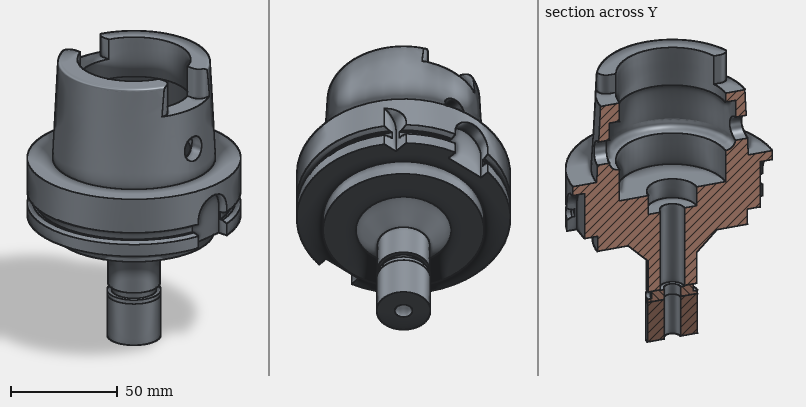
import cadquery as cq
import math


top_z = 50.0
collar_bottom_z = -37.0
stem_top_z = -47.0
stem_bottom_z = -63.5
ring_top_z = -67.0
ring_bottom_z = -69.0
base_z = -90.0

shank_base_radius = 38.1
shank_taper = 0.05
shank_top_radius = shank_base_radius - shank_taper * top_z
rim_fillet = 1.75

flange_radius = 50.0
flange_bottom_z = -29.0
groove_floor_radius = 46.2
groove_ledge_radius = 47.5
groove_center_z = -20.0
groove_floor_width = 3.8
groove_side_height = 1.1
collar_radius = 37.6

stem_radius = 12.25
cone_top_radius = stem_radius + (collar_bottom_z - stem_top_z)
neck_radius = 10.5
sleeve_radius = 12.6

mouth_radius = 26.5
chamber_radius = 31.5
chamber_top_z = 30.0
chamber_cove_top_z = 9.5
well_floor_z = -12.0
socket_radius = 12.0
socket_depth = 10.0
holder_bore_radius = 6.0
through_bore_radius = 4.1

slot_half_width = 10.0
slot_corner_radius = 4.5
slot_wall_x = 32.25
left_slot_depth = 10.0
right_slot_depth = 15.0

cross_hole_radius = 6.0
cross_hole_z = 15.0

notch_half_width = 10.0
notch_top_z = -5.0
key_notch_floor_x = 44.0
corner_notch_floor_x = 31.5
corner_notch_side_y = 31.6


def cylinder(radius, bottom_z, top):
    return cq.Workplane("XY").workplane(offset=bottom_z).circle(radius).extrude(top - bottom_z)


def revolved_body():
    """Outside of the holder: shank, grooved flange, collar, cone and stem."""
    groove_top_z = groove_center_z + groove_floor_width / 2
    groove_bottom_z = groove_center_z - groove_floor_width / 2
    outline = [
        (0, top_z),
        (shank_top_radius, top_z),
        (shank_base_radius, 0),
        (flange_radius, 0),
        (flange_radius, groove_top_z + groove_side_height),
        (groove_ledge_radius, groove_top_z),
        (groove_floor_radius, groove_top_z),
        (groove_floor_radius, groove_bottom_z),
        (groove_ledge_radius, groove_bottom_z),
        (flange_radius, groove_bottom_z - groove_side_height),
        (flange_radius, flange_bottom_z),
        (collar_radius, flange_bottom_z),
        (collar_radius, collar_bottom_z),
        (cone_top_radius, collar_bottom_z),
        (stem_radius, stem_top_z),
        (stem_radius, stem_bottom_z),
        (0, stem_bottom_z),
    ]
    body = cq.Workplane("XZ").polyline(outline).close().revolve(360, (0, 0, 0), (0, 1, 0))
    return body.faces(">Z").edges().fillet(rim_fillet)


def holder_cavity():
    """Mouth, wider chamber coved back in to the well, socket and stem bore, from the top down."""
    cove_radius = chamber_radius - mouth_radius
    cove_bottom_z = chamber_cove_top_z - cove_radius
    arc_offset = cove_radius * math.sqrt(0.5)
    socket_floor_z = well_floor_z - socket_depth
    return (
        cq.Workplane("XZ")
        .moveTo(0, top_z)
        .lineTo(mouth_radius, top_z)
        .lineTo(mouth_radius, chamber_top_z)
        .lineTo(chamber_radius, chamber_top_z)
        .lineTo(chamber_radius, chamber_cove_top_z)
        .threePointArc(
            (mouth_radius + arc_offset, chamber_cove_top_z - arc_offset),
            (mouth_radius, cove_bottom_z),
        )
        .lineTo(mouth_radius, well_floor_z)
        .lineTo(socket_radius, well_floor_z)
        .lineTo(socket_radius, socket_floor_z)
        .lineTo(holder_bore_radius, socket_floor_z)
        .lineTo(holder_bore_radius, stem_bottom_z)
        .lineTo(0, stem_bottom_z)
        .close()
        .revolve(360, (0, 0, 0), (0, 1, 0))
    )


def drive_slot(side, depth):
    """Slot through one side of the mouth; it flares outward round the lug corners."""
    flare_half_width = slot_half_width + slot_corner_radius
    flare_start_x = slot_wall_x - slot_corner_radius
    arc_offset = slot_corner_radius * math.sqrt(0.5)
    floor_z = top_z - depth
    return (
        cq.Workplane("XY", origin=(0, 0, floor_z))
        .moveTo(0, -slot_half_width)
        .lineTo(side * flare_start_x, -slot_half_width)
        .threePointArc(
            (side * (flare_start_x + arc_offset), -flare_half_width + arc_offset),
            (side * slot_wall_x, -flare_half_width),
        )
        .lineTo(side * slot_wall_x, -flange_radius)
        .lineTo(side * flange_radius, -flange_radius)
        .lineTo(side * flange_radius, flange_radius)
        .lineTo(side * slot_wall_x, flange_radius)
        .lineTo(side * slot_wall_x, flare_half_width)
        .threePointArc(
            (side * (flare_start_x + arc_offset), flare_half_width - arc_offset),
            (side * flare_start_x, slot_half_width),
        )
        .lineTo(0, slot_half_width)
        .close()
        .extrude(depth)
    )


def flange_notch(side, floor_x, center_y):
    """Round-topped notch cut along X into the flange, open at the flange underside."""
    arc_center_z = notch_top_z - notch_half_width
    return (
        cq.Workplane("YZ", origin=(side * floor_x, 0, 0))
        .moveTo(center_y - notch_half_width, flange_bottom_z)
        .lineTo(center_y - notch_half_width, arc_center_z)
        .threePointArc((center_y, notch_top_z), (center_y + notch_half_width, arc_center_z))
        .lineTo(center_y + notch_half_width, flange_bottom_z)
        .close()
        .extrude(side * flange_radius)
    )


def cross_hole():
    return (
        cq.Workplane("YZ")
        .center(0, cross_hole_z)
        .circle(cross_hole_radius)
        .extrude(flange_radius, both=True)
    )


def make_holder():
    body = revolved_body().cut(holder_cavity()).cut(cross_hole())
    for side, depth in ((-1, left_slot_depth), (1, right_slot_depth)):
        body = body.cut(drive_slot(side, depth))
        body = body.cut(flange_notch(side, key_notch_floor_x, 0))
    corner_notch_center_y = corner_notch_side_y + notch_half_width
    corner_notch = flange_notch(-1, corner_notch_floor_x, corner_notch_center_y)
    return body.cut(corner_notch)


def make_neck_ring():
    """Narrow neck under the stem with a flat ring at its lower end."""
    neck = cylinder(neck_radius, ring_bottom_z, stem_bottom_z)
    ring = cylinder(sleeve_radius, ring_bottom_z, ring_top_z)
    bore = cylinder(through_bore_radius, ring_bottom_z, stem_bottom_z)
    return neck.union(ring).cut(bore)


def make_sleeve():
    """Plain bored cylinder at the bottom."""
    bore = cylinder(through_bore_radius, base_z, ring_bottom_z)
    return cylinder(sleeve_radius, base_z, ring_bottom_z).cut(bore)


holder = make_holder()
neck_ring = make_neck_ring()
sleeve = make_sleeve()

result = cq.Compound.makeCompound([holder.val(), neck_ring.val(), sleeve.val()])